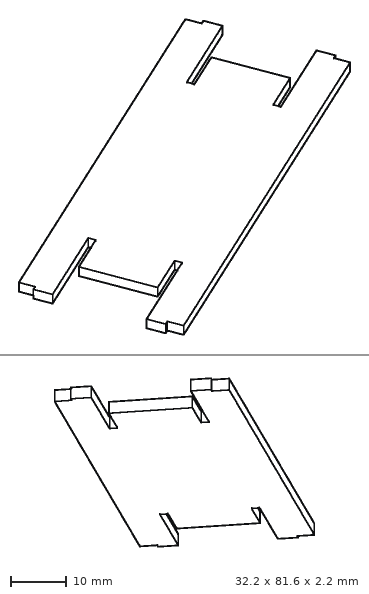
import cadquery as cq

length = 81.6
width = 32.2
thickness = 2.2

rail_width = 6.9
tip_setback = 3.2
tip_length = 0.8

slot_width = 1.5
tongue_recess = 9.0
slot_depth = 8.2

half_length = length / 2
rail_inner_x = width / 2 - rail_width
tongue_width = 2 * (rail_inner_x - slot_width)
tongue_end_y = half_length - tongue_recess
slot_floor_y = tongue_end_y - slot_depth


def centered_plate(size_x, size_y):
    """Plate centered on the origin in X and Y, resting on Z = 0."""
    return cq.Workplane("XY").box(size_x, size_y, thickness, centered=(True, True, False))


def rail(side):
    """Full-length rail on one side (-1 or +1), with its outer corners stepped in."""
    body_x = side * (rail_inner_x + rail_width / 2)
    body = centered_plate(rail_width, length - 2 * tip_length).translate((body_x, 0, 0))
    tip_width = rail_width - tip_setback
    tip_x = side * (rail_inner_x + tip_width / 2)
    return body.union(centered_plate(tip_width, length).translate((tip_x, 0, 0)))


web = centered_plate(width, 2 * slot_floor_y)
tongues = centered_plate(tongue_width, 2 * tongue_end_y)

result = web.union(tongues)
for side in (-1, 1):
    result = result.union(rail(side))
result = result.clean()